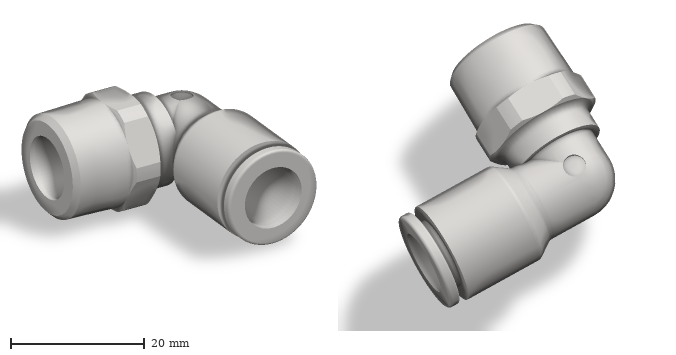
import cadquery as cq
import math


elbow_radius = 6.13
bore_radius = 5.0

socket_cone_start = 7.8
socket_cone_end = 10.5
socket_end = 23.18
socket_radius = 7.97
cone_root_fillet = 1.17
cone_rim_fillet = 0.9

ring_neck_radius = 5.6
ring_radius = 7.8
ring_start = 24.52
ring_end = 26.23
ring_inner_fillet = 0.32
ring_outer_fillet = 0.43

collar_start = 4.9
collar_radius = 7.3
collar_flare = 0.92
hex_start = 8.95
hex_end = 14.0
stud_end = 23.7
thread_base_radius = 8.5
thread_tip_radius = 8.25
thread_chamfer = 0.9

hex_sides = 6
hex_across_flats = 17.0
hex_across_corners = hex_across_flats / math.cos(math.pi / hex_sides)
hex_corner_radius = 9.2
hex_bevel_height = 0.43

badge_radius = 1.75
badge_floor = 5.6


def rod(plane, radius, start, end):
    """Cylinder along the plane normal (YZ: +X, XZ: -Y, XY: +Z), placed by distance from the origin."""
    return cq.Workplane(plane).workplane(offset=start).circle(radius).extrude(end - start)


def circle_edges(body, station, radius):
    """Circular edges of an X-axis body at the given station and radius."""
    tolerance = 0.018
    box = cq.selectors.BoxSelector(
        (station - tolerance, -radius - tolerance, -radius - tolerance),
        (station + tolerance, radius + tolerance, radius + tolerance),
        boundingbox=True,
    )
    return body.edges(box).edges("%CIRCLE")


def make_elbow():
    corner = cq.Workplane("XY").sphere(elbow_radius)
    tube_leg = rod("YZ", elbow_radius, 0, socket_cone_start)
    stud_leg = rod("XZ", elbow_radius, 0, hex_start)
    return corner.union(tube_leg).union(stud_leg)


def make_socket():
    profile = [
        (0, 0),
        (0, elbow_radius),
        (socket_cone_start, elbow_radius),
        (socket_cone_end, socket_radius),
        (socket_end, socket_radius),
        (socket_end, 0),
    ]
    body = cq.Workplane("XY").polyline(profile).close().revolve(360, (0, 0, 0), (1, 0, 0))
    body = circle_edges(body, socket_cone_start, elbow_radius).fillet(cone_root_fillet)
    return circle_edges(body, socket_cone_end, socket_radius).fillet(cone_rim_fillet)


def make_release_ring():
    neck = rod("YZ", ring_neck_radius, socket_cone_end, ring_end)
    flange = rod("YZ", ring_radius, ring_start, ring_end)
    flange = flange.edges("<X").fillet(ring_inner_fillet)
    flange = flange.edges(">X").fillet(ring_outer_fillet)
    return neck.union(flange)


def make_collar_and_thread():
    """Collar with a concave flare onto the hexagon, then the tapered thread."""
    return (
        cq.Workplane("XY")
        .moveTo(0, -collar_start)
        .lineTo(collar_radius, -collar_start)
        .lineTo(collar_radius, -hex_start + collar_flare)
        .radiusArc((collar_radius + collar_flare, -hex_start), -collar_flare)
        .lineTo(thread_base_radius, -hex_end)
        .lineTo(thread_tip_radius, -stud_end + thread_chamfer)
        .lineTo(thread_tip_radius - thread_chamfer, -stud_end)
        .lineTo(0, -stud_end)
        .close()
        .revolve(360, (0, 0, 0), (0, 1, 0))
    )


def make_hexagon():
    height = hex_end - hex_start
    prism = (
        cq.Workplane("XZ")
        .workplane(offset=hex_start)
        .polygon(hex_sides, hex_across_corners)
        .extrude(height)
    )
    turned_blank = rod("XZ", hex_corner_radius, hex_start, hex_end)
    bevel_width = hex_corner_radius - hex_across_flats / 2
    turned_blank = turned_blank.edges("%CIRCLE").chamfer(hex_bevel_height, bevel_width)
    return prism.intersect(turned_blank)


def make_bore():
    corner = cq.Workplane("XY").sphere(bore_radius)
    tube_bore = rod("YZ", bore_radius, 0, ring_end)
    stud_bore = rod("XZ", bore_radius, 0, stud_end)
    return corner.union(tube_bore).union(stud_bore)


def make_badge_recess():
    return rod("XY", badge_radius, badge_floor, elbow_radius)


result = (
    make_elbow()
    .union(make_socket())
    .union(make_release_ring())
    .union(make_collar_and_thread())
    .union(make_hexagon())
    .cut(make_bore())
    .cut(make_badge_recess())
)